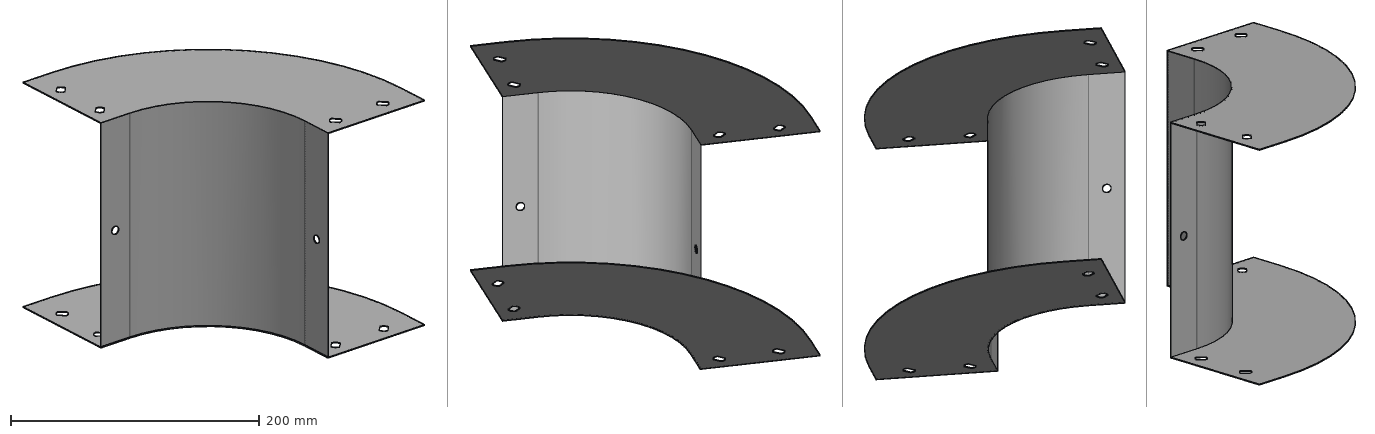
import cadquery as cq

leg_width = 100.0
inner_radius = 100.0
straight = 30.0
height = 200.0
sheet = 0.8

wall_hole_diameter = 7.0

slot_length = 10.0
slot_width = 7.0
slot_angle = 45.0
outer_slot_offset = 30.0
inner_slot_offset = 80.0
end_margin = straight / 2
shifted_margin = 16.45

outer_radius = inner_radius + leg_width
size = outer_radius + straight
upper_flange_base = height - sheet


def elbow(radius, base, thickness):
    """Quarter-round slab with straight ends, reaching from the bend radius to the inner corner."""
    edge = outer_radius - radius
    return (
        cq.Workplane("XY", origin=(0, 0, base))
        .moveTo(edge, 0)
        .lineTo(edge, straight)
        .radiusArc((outer_radius, straight + radius), radius)
        .lineTo(size, straight + radius)
        .lineTo(size, 0)
        .close()
        .extrude(thickness)
    )


def channel():
    """Upper and lower flanges with the wall between them."""
    body = elbow(outer_radius, 0, height).cut(elbow(inner_radius, 0, height))
    inside_height = height - 2 * sheet
    cavity = elbow(outer_radius, sheet, inside_height)
    cavity = cavity.cut(elbow(inner_radius + sheet, sheet, inside_height))
    return body.cut(cavity)


def slot(x, y, base, angle):
    """Slot through one flange, whose lower face is at height base."""
    disc = cq.Workplane("XY").circle(slot_length / 2).extrude(sheet)
    flats = cq.Workplane("XY").rect(slot_length, slot_width).extrude(sheet)
    cutter = disc.intersect(flats)
    return cutter.rotate((0, 0, 0), (0, 0, 1), angle).translate((x, y, base))


def cut_flange_slots(body, base, angle, left_margin, right_margin):
    """Two slots near each end of one flange; the margins place the outer slots."""
    left_slots = ((outer_slot_offset, left_margin), (inner_slot_offset, end_margin))
    right_slots = ((outer_slot_offset, right_margin), (inner_slot_offset, end_margin))
    for offset, margin in left_slots:
        body = body.cut(slot(offset, margin, base, angle))
    for offset, margin in right_slots:
        body = body.cut(slot(size - margin, size - offset, base, -angle))
    return body


def cut_wall_holes(body):
    """One round hole at mid-height in each straight end of the wall."""
    radius = wall_hole_diameter / 2
    middle = height / 2
    left_hole = cq.Workplane("YZ").center(end_margin, middle).circle(radius).extrude(size)
    right_hole = cq.Workplane("XZ").center(size - end_margin, middle).circle(radius).extrude(-size)
    return body.cut(left_hole).cut(right_hole)


result = channel()

result = cut_flange_slots(result, upper_flange_base, -slot_angle, end_margin, shifted_margin)
result = cut_flange_slots(result, 0, slot_angle, shifted_margin, end_margin)

result = cut_wall_holes(result)